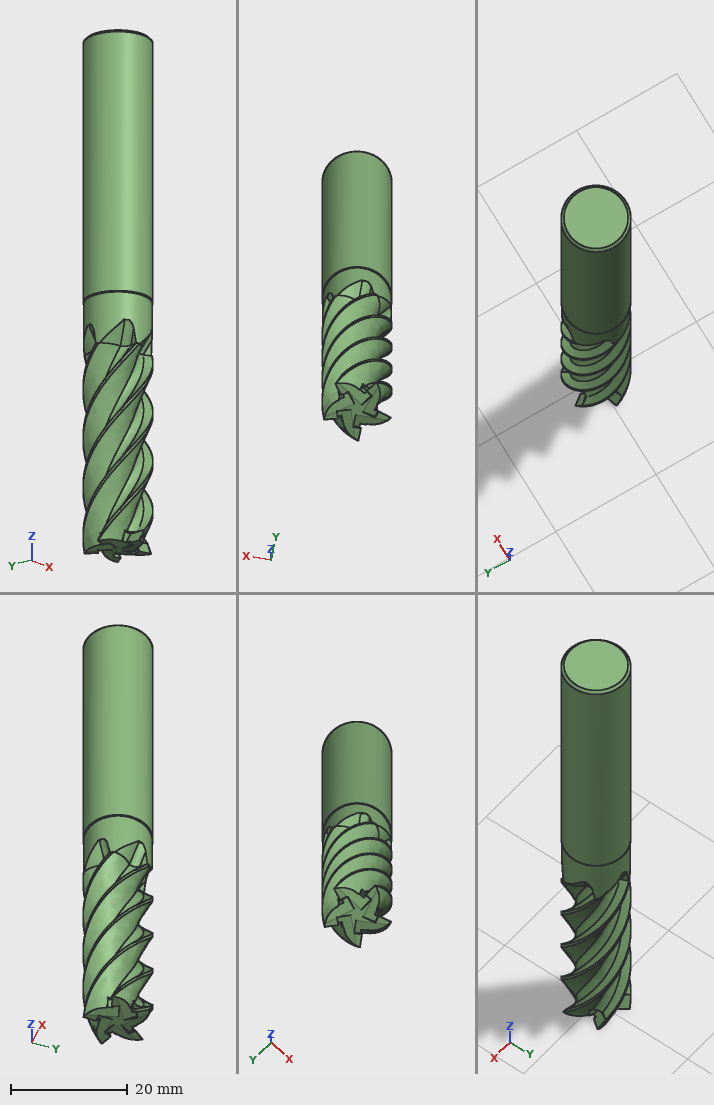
import cadquery as cq
import math


tool_diameter = 12.0
overall_length = 93.0
cutter_length = 36.0
shank_start = 45.0
flute_end = 40.0
neck_diameter = 11.8
shank_chamfer = 0.5
neck_taper_height = 0.2

flute_count = 5
helix_angle = 40.0
first_edge_angle = 252.0

margin_angle = 6.0
back_middle_angle = 22.0
back_middle_radius = 5.0
back_foot_angle = 47.0
back_foot_radius = 3.5
gullet_middle_angle = 59.0
gullet_middle_radius = 3.6
rake_foot_angle = 70.0
rake_foot_radius = 4.4

end_relief_span = 2.4
end_relief_rise = 0.5
gash_height = 2.3
gash_width = 2.0
gash_lean = 1.4
gash_floor_distance = 2.8
end_edge_land = 1.1

tool_radius = tool_diameter / 2
neck_radius = neck_diameter / 2
tooth_pitch = 360 / flute_count
helix_lead = math.pi * tool_diameter / math.tan(math.radians(helix_angle))
cutter_twist = 360 * cutter_length / helix_lead
flute_clear_radius = 1.5 * tool_radius


def polar(radius, angle):
    """Point at the given radius and angle, in the plane across the axis."""
    turn = math.radians(angle)
    return (radius * math.cos(turn), radius * math.sin(turn))


def tooth_outline():
    """Closed cross-section of the cutter at its lower end."""
    outline = cq.Workplane("XY").moveTo(*polar(tool_radius, first_edge_angle))
    for tooth in range(flute_count):
        edge = first_edge_angle + tooth * tooth_pitch
        outline = (
            outline
            .threePointArc(
                polar(tool_radius, edge + margin_angle / 2),
                polar(tool_radius, edge + margin_angle),
            )
            .threePointArc(
                polar(back_middle_radius, edge + back_middle_angle),
                polar(back_foot_radius, edge + back_foot_angle),
            )
            .threePointArc(
                polar(gullet_middle_radius, edge + gullet_middle_angle),
                polar(rake_foot_radius, edge + rake_foot_angle),
            )
            .lineTo(*polar(tool_radius, edge + tooth_pitch))
        )
    return outline.close()


def flute_wire(edge, height, lift):
    """Outline of one flute's empty space, moved out from the axis by lift."""
    lift_x, lift_y = polar(lift, edge + gullet_middle_angle)

    def place(radius, angle):
        x, y = polar(radius, edge + angle)
        return (x + lift_x, y + lift_y)

    return (
        cq.Workplane("XY", origin=(0, 0, height))
        .moveTo(*place(tool_radius, margin_angle))
        .threePointArc(
            place(back_middle_radius, back_middle_angle),
            place(back_foot_radius, back_foot_angle),
        )
        .threePointArc(
            place(gullet_middle_radius, gullet_middle_angle),
            place(rake_foot_radius, rake_foot_angle),
        )
        .lineTo(*place(tool_radius, tooth_pitch))
        .lineTo(*place(flute_clear_radius, tooth_pitch))
        .lineTo(*place(flute_clear_radius, margin_angle))
        .close()
        .val()
    )


def flute_runout(tooth):
    """Straight sloping cutter that lets one flute climb out through the neck."""
    edge = first_edge_angle + tooth * tooth_pitch + cutter_twist
    full_lift = neck_radius - gullet_middle_radius
    lower = flute_wire(edge, cutter_length, 0)
    upper = flute_wire(edge, flute_end, full_lift)
    return cq.Workplane(cq.Solid.makeLoft([lower, upper], True))


def end_relief(tooth):
    """Wedge that slopes the lower end upward behind one cutting edge."""
    edge = first_edge_angle + tooth * tooth_pitch
    far_side = end_edge_land + end_relief_span
    return (
        cq.Workplane("YZ")
        .moveTo(end_edge_land, 0)
        .lineTo(far_side, end_relief_rise)
        .lineTo(far_side, 0)
        .close()
        .extrude(flute_clear_radius)
        .rotate((0, 0, 0), (0, 0, 1), edge)
    )


def end_gash(tooth):
    """Cutter that replaces the lowest part of one rake face by a steeper flat."""
    edge_at_top = first_edge_angle + tooth * tooth_pitch + 360 * gash_height / helix_lead
    return (
        cq.Workplane("YZ", origin=(gash_floor_distance, 0, 0))
        .moveTo(0, gash_height)
        .lineTo(-gash_lean, 0)
        .lineTo(-gash_width, 0)
        .lineTo(-gash_width, gash_height)
        .close()
        .extrude(flute_clear_radius)
        .rotate((0, 0, 0), (0, 0, 1), edge_at_top)
    )


cutter = tooth_outline().twistExtrude(cutter_length, cutter_twist)
for tooth in range(flute_count):
    cutter = cutter.cut(end_relief(tooth)).cut(end_gash(tooth))

shank = (
    cq.Workplane("YZ")
    .moveTo(0, cutter_length)
    .lineTo(-neck_radius, cutter_length)
    .lineTo(-neck_radius, shank_start)
    .lineTo(-tool_radius, shank_start + neck_taper_height)
    .lineTo(-tool_radius, overall_length - shank_chamfer)
    .lineTo(-tool_radius + shank_chamfer, overall_length)
    .lineTo(0, overall_length)
    .close()
    .revolve(360, (0, 0), (0, 1))
)
for tooth in range(flute_count):
    shank = shank.cut(flute_runout(tooth))

result = cq.Compound.makeCompound([cutter.solids().val(), shank.solids().val()])